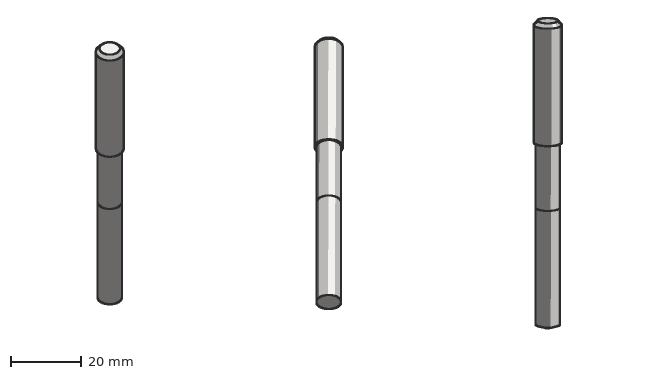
import cadquery as cq
import math

total_length = 91.0
shank_diameter = 8.0
shank_length = 36.0
chamfer_radial = 1.1
chamfer_height = 1.3
drill_diameter = 7.1
joint_height = 35.8
point_angle = 140.0

shank_radius = shank_diameter / 2
drill_radius = drill_diameter / 2
tip_height = drill_radius / math.tan(math.radians(point_angle / 2))
shoulder_height = total_length - shank_length
tip_z = -total_length / 2


def revolve_profile(points):
    """Turn a closed (radius, height) outline about the Z axis."""
    profile = cq.Workplane("XZ").polyline(points).close()
    return profile.revolve(360, (0, 0, 0), (0, 1, 0)).translate((0, 0, tip_z))


def make_holder():
    """Chamfered shank with a slimmer neck that ends at the joint."""
    return revolve_profile([
        (0, joint_height),
        (drill_radius, joint_height),
        (drill_radius, shoulder_height),
        (shank_radius, shoulder_height),
        (shank_radius, total_length - chamfer_height),
        (shank_radius - chamfer_radial, total_length),
        (0, total_length),
    ])


def make_cutting_head():
    """Plain cylinder with a conical drill point."""
    return revolve_profile([
        (0, 0),
        (drill_radius, tip_height),
        (drill_radius, joint_height),
        (0, joint_height),
    ])


holder = make_holder()
cutting_head = make_cutting_head()

result = cq.Compound.makeCompound([holder.val(), cutting_head.val()])